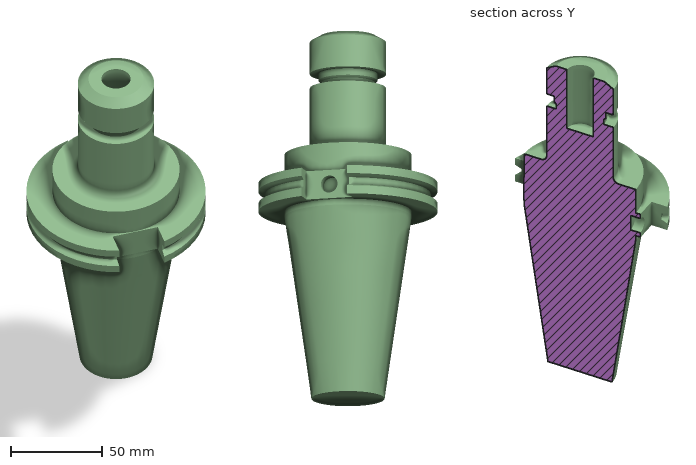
import cadquery as cq
import math


GAUGE_RADIUS = 69.85 / 2
TAPER_LENGTH = 101.6
TAPER_RATIO = 7 / 24
TAPER_END_RADIUS = GAUGE_RADIUS - TAPER_LENGTH * TAPER_RATIO / 2

FLANGE_RADIUS = 98.425 / 2
FLANGE_BOTTOM = 3.175
FLANGE_THICKNESS = 15.875
FLANGE_TOP = FLANGE_BOTTOM + FLANGE_THICKNESS
FLANGE_MIDDLE = FLANGE_BOTTOM + FLANGE_THICKNESS / 2
GROOVE_FLOOR_RADIUS = 45.5
GROOVE_FLOOR_WIDTH = 3.8
GROOVE_MOUTH_WIDTH = 6.8

SLOT_WIDTH = 25.92
SLOT_FLOOR_LEFT = 37.7
SLOT_FLOOR_RIGHT = 35.3
SLOT_HOLE_DIAMETER = 9.5
SLOT_HOLE_DEPTH = 6.0

COLLAR_TOP = 34.925
ARBOR_RADIUS = 21.0
ARBOR_TOP = 72.4
ARBOR_FILLET = 3.175

NECK_RADIUS = 15.0
NECK_TOP = 75.5
NECK_COLLAR_RADIUS = 16.2
NECK_CONE_TOP = NECK_TOP + NECK_COLLAR_RADIUS - NECK_RADIUS

NUT_RADIUS = ARBOR_RADIUS
NUT_BOTTOM = 80.4
NUT_TOP = 101.6
NUT_FACE_RADIUS = 15.1
NUT_BEVEL_ANGLE = 30.0
NUT_BEVEL_HEIGHT = (NUT_RADIUS - NUT_FACE_RADIUS) * math.tan(math.radians(NUT_BEVEL_ANGLE))
BORE_DIAMETER = 16.0
BORE_DEPTH = 40.0


def turned_body():
    """Solid of revolution about Z: taper, flange, collar, arbor, neck and nut."""
    groove_floor_low = FLANGE_MIDDLE - GROOVE_FLOOR_WIDTH / 2
    groove_floor_high = FLANGE_MIDDLE + GROOVE_FLOOR_WIDTH / 2
    groove_mouth_low = FLANGE_MIDDLE - GROOVE_MOUTH_WIDTH / 2
    groove_mouth_high = FLANGE_MIDDLE + GROOVE_MOUTH_WIDTH / 2
    profile = (
        cq.Workplane("XZ")
        .moveTo(0, -TAPER_LENGTH)
        .lineTo(TAPER_END_RADIUS, -TAPER_LENGTH)
        .lineTo(GAUGE_RADIUS, 0)
        .lineTo(GAUGE_RADIUS, FLANGE_BOTTOM)
        .lineTo(FLANGE_RADIUS, FLANGE_BOTTOM)
        .lineTo(FLANGE_RADIUS, groove_mouth_low)
        .lineTo(GROOVE_FLOOR_RADIUS, groove_floor_low)
        .lineTo(GROOVE_FLOOR_RADIUS, groove_floor_high)
        .lineTo(FLANGE_RADIUS, groove_mouth_high)
        .lineTo(FLANGE_RADIUS, FLANGE_TOP)
        .lineTo(GAUGE_RADIUS, FLANGE_TOP)
        .lineTo(GAUGE_RADIUS, COLLAR_TOP)
        .lineTo(ARBOR_RADIUS + ARBOR_FILLET, COLLAR_TOP)
        .radiusArc((ARBOR_RADIUS, COLLAR_TOP + ARBOR_FILLET), ARBOR_FILLET)
        .lineTo(ARBOR_RADIUS, ARBOR_TOP)
        .lineTo(NECK_RADIUS, ARBOR_TOP)
        .lineTo(NECK_RADIUS, NECK_TOP)
        .lineTo(NECK_COLLAR_RADIUS, NECK_CONE_TOP)
        .lineTo(NECK_COLLAR_RADIUS, NUT_BOTTOM)
        .lineTo(NUT_RADIUS, NUT_BOTTOM)
        .lineTo(NUT_RADIUS, NUT_TOP - NUT_BEVEL_HEIGHT)
        .lineTo(NUT_FACE_RADIUS, NUT_TOP)
        .lineTo(0, NUT_TOP)
        .close()
    )
    return profile.revolve(360, (0, 0), (0, 1))


def drive_slot(floor_distance, side):
    """Cutter for one drive slot; side is -1 for -X and +1 for +X."""
    slot_length = FLANGE_RADIUS
    return (
        cq.Workplane("XY")
        .box(slot_length, SLOT_WIDTH, FLANGE_THICKNESS)
        .translate((side * (floor_distance + slot_length / 2), 0, FLANGE_MIDDLE))
    )


def slot_hole():
    """Cutter for the blind round hole in the floor of the -X drive slot."""
    return (
        cq.Workplane("YZ", origin=(-SLOT_FLOOR_LEFT, 0, FLANGE_MIDDLE))
        .circle(SLOT_HOLE_DIAMETER / 2)
        .extrude(SLOT_HOLE_DEPTH)
    )


def tool_bore():
    """Cutter for the blind bore in the nut face."""
    return (
        cq.Workplane("XY", origin=(0, 0, NUT_TOP))
        .circle(BORE_DIAMETER / 2)
        .extrude(-BORE_DEPTH)
    )


result = (
    turned_body()
    .cut(drive_slot(SLOT_FLOOR_LEFT, -1))
    .cut(drive_slot(SLOT_FLOOR_RIGHT, 1))
    .cut(slot_hole())
    .cut(tool_bore())
)